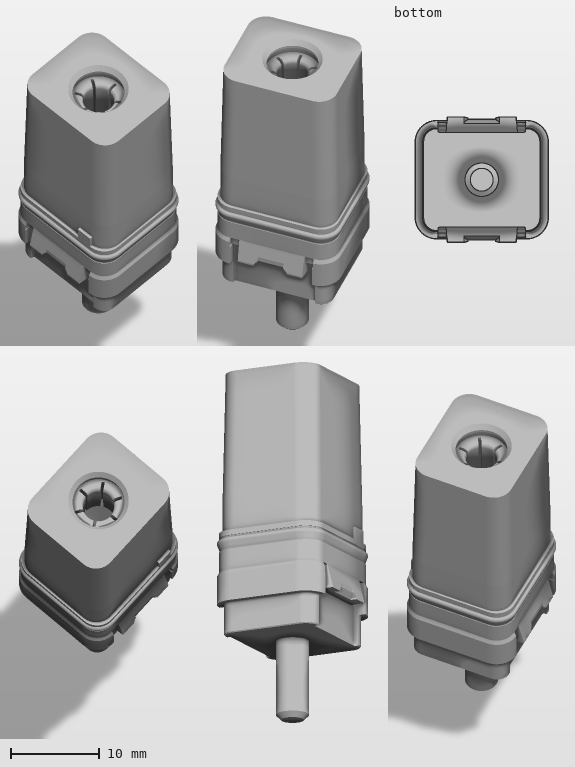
import cadquery as cq
import math

TOP_Z = 39.62
TAPER_START_Z = 25.1
NECK_TOP_Z = 21.0
SKIRT_TOP_Z = 16.45
SKIRT_BOTTOM_Z = 12.7
BASE_BOTTOM_Z = 9.15

NECK_X, NECK_Y, NECK_RADIUS = 14.55, 12.88, 2.2
TOWER_X, TOWER_Y, TOWER_RADIUS = 14.05, 12.15, 2.15
TOP_X, TOP_Y = 13.55, 11.65
BASE_X, BASE_Y, BASE_RADIUS = 13.3, 11.7, 1.5
BASE_EDGE_CHAMFER = 0.1
BASE_FILLET = 0.2

SKIRT_OUTSET = 0.25
SKIRT_BEVEL_HEIGHT = 0.48
SKIRT_X = NECK_X + 2 * SKIRT_OUTSET
SKIRT_Y = NECK_Y + 2 * SKIRT_OUTSET
SKIRT_RADIUS = NECK_RADIUS + SKIRT_OUTSET

GROOVE_DEPTH = 0.08
GROOVE_TOP_Z = 20.35
GROOVE_BOTTOM_Z = 18.78
RIDGE_TOP = (-GROOVE_DEPTH, 20.2)
RIDGE_ROUND_MIDDLE = (0.15, 20.05)
RIDGE_ROUND_END = (0.218, 19.65)
RIDGE_BOTTOM = (-GROOVE_DEPTH, 18.9)
RIDGE_ROOT_DEPTH = 0.4

TAB_X_MIN, TAB_X_MAX = 3.05, 5.0
TAB_TOP_Z = 22.45
TAB_ROOT_DEPTH = 0.4

WINDOW_X = NECK_X - 2 * NECK_RADIUS
WINDOW_FLOOR_Y = 6.02
PANEL_X = 9.9
PANEL_TOP_Z = 15.2
PANEL_DEPTH = 0.5
PANEL_FILLET = 0.258
PANEL_Y = BASE_Y / 2 - PANEL_DEPTH

OVERALL_Y = 14.15
LATCH_ROOT_X = 8.05
LATCH_TIP_X = 7.75
LATCH_TIP_Y = OVERALL_Y / 2
LATCH_TIP_Z = 13.9
LATCH_BOTTOM_Z = 13.7
LATCH_NOTCH_X = 3.1
LATCH_NOTCH_MOUTH_X = 4.0
LATCH_NOTCH_Y = 6.8
LATCH_NOTCH_BEVEL_Z = 14.4
LATCH_NOTCH_BEVEL_RUN = 0.48

BARREL_RADIUS = 5.1
BARREL_BOTTOM_Z = NECK_TOP_Z
KEY_WIDTH = 1.9
KEY_REACH = 5.43
PIN_DIAMETER = 3.75
PIN_CHAMFER = 0.6
MOUTH_RADIUS = 3.4
MOUTH_DEPTH = 0.6
LIP_RADIUS = 2.95
LIP_LAND = 0.3
CAVITY_RADIUS = 3.1
CAVITY_DEPTH = 1.65
CAVITY_FLOOR_Z = TOP_Z - CAVITY_DEPTH
THROAT_RADIUS = 1.75
THROAT_FILLET = 0.55
SOCKET_RADIUS = 1.9
SOCKET_BOTTOM_Z = 31.7
DRILL_POINT_ANGLE = 118.0
SLOT_COUNT = 6
SLOT_WIDTH = 0.35
FIRST_SLOT_ANGLE = 90.0
SLOT_OUTER_RADIUS = 2.77

CUT_MARGIN = 2.0
SELECTION_MARGIN = 0.05


def rounded_rectangle(size_x, size_y, radius):
    return cq.Sketch().rect(size_x, size_y).vertices().fillet(radius)


def rounded_block(size_x, size_y, radius, bottom_z, top_z):
    section = rounded_rectangle(size_x, size_y, radius)
    return cq.Workplane("XY", origin=(0, 0, bottom_z)).placeSketch(section).extrude(top_z - bottom_z)


def rounded_frustum(lower, upper, bottom_z, top_z):
    """Straight-sided transition between two (X size, Y size, radius) sections."""
    lower_section = rounded_rectangle(*lower)
    upper_section = rounded_rectangle(*upper).moved(cq.Location(cq.Vector(0, 0, top_z - bottom_z)))
    base_plane = cq.Workplane("XY", origin=(0, 0, bottom_z))
    return base_plane.placeSketch(lower_section, upper_section).loft(ruled=True)


def both_sides(minus_y_shape):
    """The shape on the -Y side together with its mirror image on the +Y side."""
    return minus_y_shape.union(minus_y_shape.mirror("XZ"))


def make_base():
    base = rounded_block(BASE_X, BASE_Y, BASE_RADIUS, BASE_BOTTOM_Z, SKIRT_TOP_Z)
    return base.faces("<Z").edges().chamfer(BASE_EDGE_CHAMFER)


def make_skirt():
    neck_section = (NECK_X, NECK_Y, NECK_RADIUS)
    skirt_section = (SKIRT_X, SKIRT_Y, SKIRT_RADIUS)
    bevel_z = SKIRT_TOP_Z - SKIRT_BEVEL_HEIGHT
    wall = rounded_block(*skirt_section, SKIRT_BOTTOM_Z, bevel_z)
    return wall.union(rounded_frustum(skirt_section, neck_section, bevel_z, SKIRT_TOP_Z))


def make_skirted_base():
    """Base and skirt, with a fillet where the base leaves the underside of the skirt."""
    body = make_base().union(make_skirt())
    half_x = BASE_X / 2 + SELECTION_MARGIN
    half_y = BASE_Y / 2 + SELECTION_MARGIN
    inner_corner = cq.selectors.BoxSelector(
        (-half_x, -half_y, SKIRT_BOTTOM_Z - SELECTION_MARGIN),
        (half_x, half_y, SKIRT_BOTTOM_Z + SELECTION_MARGIN),
        boundingbox=True,
    )
    return body.edges(inner_corner).fillet(BASE_FILLET)


def make_tower():
    tower_section = (TOWER_X, TOWER_Y, TOWER_RADIUS)
    top_section = (TOP_X, TOP_Y, TOWER_RADIUS)
    straight = rounded_block(*tower_section, NECK_TOP_Z, TAPER_START_Z)
    return straight.union(rounded_frustum(tower_section, top_section, TAPER_START_Z, TOP_Z))


def make_neck():
    """Neck from the skirt to the tower, with the groove that the ridge stands in."""
    lower = rounded_block(NECK_X, NECK_Y, NECK_RADIUS, PANEL_TOP_Z, GROOVE_BOTTOM_Z)
    upper = rounded_block(NECK_X, NECK_Y, NECK_RADIUS, GROOVE_TOP_Z, NECK_TOP_Z)
    groove_core = rounded_block(
        NECK_X - 2 * GROOVE_DEPTH,
        NECK_Y - 2 * GROOVE_DEPTH,
        NECK_RADIUS - GROOVE_DEPTH,
        GROOVE_BOTTOM_Z,
        GROOVE_TOP_Z,
    )
    return lower.union(groove_core).union(upper)


def make_ridge():
    """Ring around the neck: rounded in its upper half, bevelled below."""
    neck_block = rounded_block(NECK_X, NECK_Y, NECK_RADIUS, RIDGE_BOTTOM[1], RIDGE_TOP[1])
    path = cq.Workplane(neck_block.faces("<Z").wires().val())
    neck_face = NECK_X / 2

    def at(point):
        return (neck_face + point[0], point[1])

    profile = (
        cq.Workplane("XZ")
        .moveTo(neck_face - RIDGE_ROOT_DEPTH, RIDGE_TOP[1])
        .lineTo(*at(RIDGE_TOP))
        .threePointArc(at(RIDGE_ROUND_MIDDLE), at(RIDGE_ROUND_END))
        .lineTo(*at(RIDGE_BOTTOM))
        .lineTo(neck_face - RIDGE_ROOT_DEPTH, RIDGE_BOTTOM[1])
        .close()
    )
    return profile.sweep(path)


def make_tab():
    depth = (NECK_Y - TOWER_Y) / 2 + TAB_ROOT_DEPTH
    tab = cq.Workplane("XY").box(TAB_X_MAX - TAB_X_MIN, depth, TAB_TOP_Z - NECK_TOP_Z, centered=False)
    return tab.translate((TAB_X_MIN, -NECK_Y / 2, NECK_TOP_Z))


def window_cut():
    """Opens the skirt above the panels on both Y sides, cutting a little into the neck."""
    height = SKIRT_TOP_Z - PANEL_TOP_Z
    window = cq.Workplane("XY").box(WINDOW_X, CUT_MARGIN, height, centered=(True, False, False))
    return both_sides(window.translate((0, -WINDOW_FLOOR_Y - CUT_MARGIN, PANEL_TOP_Z)))


def panel_cut():
    """Recesses the base below the window on both Y sides, with a filleted border."""
    height = PANEL_TOP_Z - BASE_BOTTOM_Z + CUT_MARGIN
    panel = cq.Workplane("XY").box(PANEL_X, CUT_MARGIN, height, centered=(True, False, False))
    panel = panel.translate((0, -PANEL_Y - CUT_MARGIN, PANEL_TOP_Z - height))
    return both_sides(panel.faces(">Y").edges().fillet(PANEL_FILLET))


def make_latches():
    """Wedges that widen downwards from the neck face to a notched catching edge."""
    half_root = LATCH_ROOT_X / 2
    half_tip = LATCH_TIP_X / 2
    block = (
        cq.Workplane("XY", origin=(0, 0, LATCH_BOTTOM_Z))
        .polyline([
            (-half_root, -PANEL_Y),
            (-half_tip, -LATCH_TIP_Y),
            (half_tip, -LATCH_TIP_Y),
            (half_root, -PANEL_Y),
        ])
        .close()
        .extrude(SKIRT_TOP_Z - LATCH_BOTTOM_Z)
    )
    slope = (
        cq.Workplane("YZ")
        .polyline([
            (0, LATCH_BOTTOM_Z),
            (-LATCH_TIP_Y, LATCH_BOTTOM_Z),
            (-LATCH_TIP_Y, LATCH_TIP_Z),
            (-NECK_Y / 2, SKIRT_TOP_Z),
            (0, SKIRT_TOP_Z),
        ])
        .close()
        .extrude(LATCH_ROOT_X / 2, both=True)
    )
    wedge = block.intersect(slope)

    half_notch = LATCH_NOTCH_X / 2
    half_mouth = LATCH_NOTCH_MOUTH_X / 2
    notch_outline = (
        cq.Workplane("XZ")
        .polyline([
            (-half_notch, SKIRT_TOP_Z),
            (-half_notch, LATCH_NOTCH_BEVEL_Z),
            (-half_mouth, LATCH_TIP_Z),
            (-half_mouth, LATCH_BOTTOM_Z),
            (half_mouth, LATCH_BOTTOM_Z),
            (half_mouth, LATCH_TIP_Z),
            (half_notch, LATCH_NOTCH_BEVEL_Z),
            (half_notch, SKIRT_TOP_Z),
        ])
        .close()
        .extrude(LATCH_TIP_Y + CUT_MARGIN)
    )
    notch_depth = (
        cq.Workplane("YZ")
        .polyline([
            (-LATCH_NOTCH_Y, SKIRT_TOP_Z),
            (-LATCH_NOTCH_Y, LATCH_NOTCH_BEVEL_Z),
            (-LATCH_NOTCH_Y + LATCH_NOTCH_BEVEL_RUN, LATCH_BOTTOM_Z),
            (-LATCH_TIP_Y - CUT_MARGIN, LATCH_BOTTOM_Z),
            (-LATCH_TIP_Y - CUT_MARGIN, SKIRT_TOP_Z),
        ])
        .close()
        .extrude(LATCH_ROOT_X / 2, both=True)
    )
    return both_sides(wedge.cut(notch_outline.intersect(notch_depth)))


def insert_envelope():
    """Keyed barrel standing on its pin; also the shape of the hole in the housing."""
    pin = cq.Workplane("XY").circle(PIN_DIAMETER / 2).extrude(BARREL_BOTTOM_Z)
    pin = pin.faces("<Z").edges().chamfer(PIN_CHAMFER)
    barrel_plane = cq.Workplane("XY", origin=(0, 0, BARREL_BOTTOM_Z))
    barrel_height = TOP_Z - BARREL_BOTTOM_Z
    barrel = barrel_plane.circle(BARREL_RADIUS).extrude(barrel_height)
    key = barrel_plane.center(-KEY_REACH / 2, 0).rect(KEY_REACH, KEY_WIDTH).extrude(barrel_height)
    return pin.union(barrel).union(key)


def socket_cut():
    """Conical mouth, undercut cavity, rounded throat and drilled socket."""
    lip_z = TOP_Z - MOUTH_DEPTH
    throat_z = CAVITY_FLOOR_Z - THROAT_FILLET
    flare_radius = THROAT_RADIUS + THROAT_FILLET
    mid_fillet = THROAT_FILLET * math.sqrt(0.5)
    point_z = SOCKET_BOTTOM_Z - SOCKET_RADIUS / math.tan(math.radians(DRILL_POINT_ANGLE / 2))
    return (
        cq.Workplane("XZ")
        .moveTo(0, TOP_Z)
        .lineTo(MOUTH_RADIUS, TOP_Z)
        .lineTo(LIP_RADIUS, lip_z)
        .lineTo(LIP_RADIUS, lip_z - LIP_LAND)
        .lineTo(CAVITY_RADIUS, lip_z - LIP_LAND)
        .lineTo(CAVITY_RADIUS, CAVITY_FLOOR_Z)
        .lineTo(flare_radius, CAVITY_FLOOR_Z)
        .threePointArc((flare_radius - mid_fillet, throat_z + mid_fillet), (THROAT_RADIUS, throat_z))
        .lineTo(SOCKET_RADIUS, SOCKET_BOTTOM_Z)
        .lineTo(0, point_z)
        .close()
        .revolve(360, (0, 0, 0), (0, 1, 0))
    )


def slot_cut():
    """Radial slots that divide the socket wall into spring fingers."""
    slots = cq.Workplane("XY")
    for index in range(SLOT_COUNT):
        angle = FIRST_SLOT_ANGLE + index * 360 / SLOT_COUNT
        slot = (
            cq.Workplane("XY", origin=(0, 0, SOCKET_BOTTOM_Z))
            .center(SLOT_OUTER_RADIUS / 2, 0)
            .rect(SLOT_OUTER_RADIUS, SLOT_WIDTH)
            .extrude(CAVITY_FLOOR_Z - SOCKET_BOTTOM_Z)
        )
        slots = slots.add(slot.rotate((0, 0, 0), (0, 0, 1), angle))
    return slots.combine()


def make_housing():
    body = make_skirted_base().union(make_neck()).cut(window_cut()).cut(panel_cut())
    body = body.union(make_ridge()).union(make_tower())
    body = body.union(make_tab()).union(make_latches())
    return body.cut(insert_envelope())


def make_contact_insert():
    return insert_envelope().cut(socket_cut()).cut(slot_cut())


housing = make_housing()
contact_insert = make_contact_insert()

result = cq.Compound.makeCompound([housing.val(), contact_insert.val()])